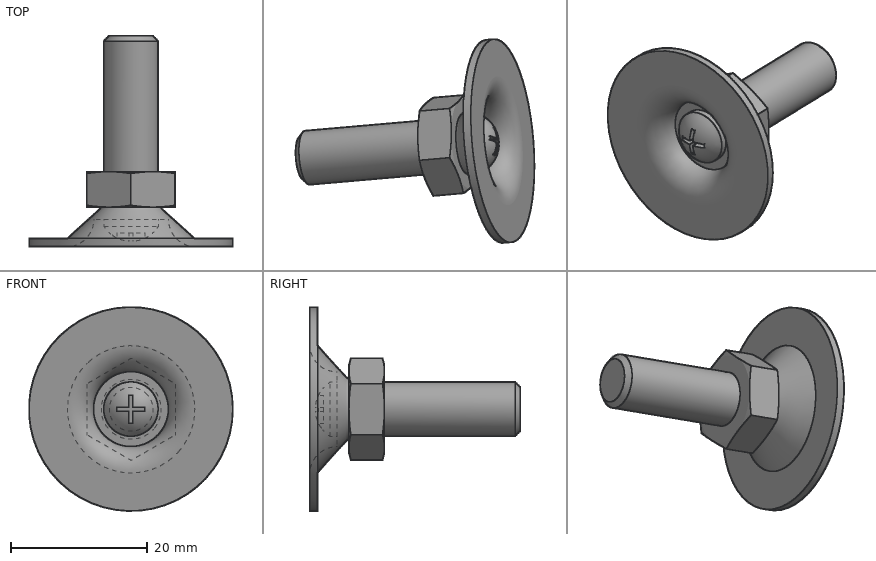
import cadquery as cq
import math

AXIS_DIRECTION = (0, 1, 0)

plate_diameter = 30.0
plate_thickness = 1.2
cone_base_radius = 9.35
cone_top_radius = 4.65
cone_top_y = 5.45
neck_radius = 4.4

flare_radius = 4.0
cavity_floor_radius = 5.5
cavity_depth = flare_radius
cavity_mouth_radius = cavity_floor_radius + flare_radius

dome_radius = 4.0
dome_height = 2.2
screw_rim_height = 1.0
cross_length = 4.1
cross_width = 0.6
cross_depth = 1.2

total_length = 31.0
stud_diameter = 8.0
stud_length = 20.0
tip_chamfer = 0.8
hex_across_corners = 15.0
hex_height = 5.2
hex_chamfer_angle = 15.0

hex_top_y = total_length - stud_length
hex_bottom_y = hex_top_y - hex_height
screw_rim_y = cavity_depth - screw_rim_height
dome_apex_y = screw_rim_y - dome_height
cross_floor_y = dome_apex_y + cross_depth
hex_across_flats = hex_across_corners * math.cos(math.radians(30))


def revolve_about_y(profile):
    """Turn a closed (radius, y) profile a full turn about the Y axis."""
    return profile.close().revolve(360, (0, 0, 0), AXIS_DIRECTION)


def make_base():
    """Plate, cone and short tapered neck, hollowed by a cavity whose wall curves in from the base face."""
    plate_radius = plate_diameter / 2
    arc_reach = flare_radius * math.cos(math.radians(45))
    arc_middle = (cavity_mouth_radius - arc_reach, flare_radius - arc_reach)
    profile = (
        cq.Workplane("XY")
        .moveTo(0, cavity_depth)
        .lineTo(cavity_floor_radius, cavity_depth)
        .threePointArc(arc_middle, (cavity_mouth_radius, 0))
        .lineTo(plate_radius, 0)
        .lineTo(plate_radius, plate_thickness)
        .lineTo(cone_base_radius, plate_thickness)
        .lineTo(cone_top_radius, cone_top_y)
        .lineTo(neck_radius, hex_bottom_y)
        .lineTo(0, hex_bottom_y)
    )
    return revolve_about_y(profile)


def make_screw_end():
    """Spherical cap on a short cylinder that rises from the cavity floor."""
    sphere_radius = (dome_radius**2 + dome_height**2) / (2 * dome_height)
    half_angle = math.asin(dome_radius / sphere_radius) / 2
    arc_middle = (
        sphere_radius * math.sin(half_angle),
        dome_apex_y + sphere_radius * (1 - math.cos(half_angle)),
    )
    profile = (
        cq.Workplane("XY")
        .moveTo(0, dome_apex_y)
        .threePointArc(arc_middle, (dome_radius, screw_rim_y))
        .lineTo(dome_radius, hex_bottom_y)
        .lineTo(0, hex_bottom_y)
    )
    return revolve_about_y(profile)


def make_cross_cutter():
    """Two crossed bars reaching from the base face to the recess floor."""
    centering = (True, False, True)
    bar_x = cq.Workplane("XY").box(cross_length, cross_floor_y, cross_width, centered=centering)
    bar_z = cq.Workplane("XY").box(cross_width, cross_floor_y, cross_length, centered=centering)
    return bar_x.union(bar_z)


def make_hexagon():
    """Hexagon with corners on +Z and -Z, its corners turned off at both ends."""
    prism = (
        cq.Workplane("XZ", origin=(0, hex_top_y, 0))
        .transformed(rotate=(0, 0, 90))
        .polygon(6, hex_across_corners)
        .extrude(hex_height)
    )
    face_radius = hex_across_flats / 2
    corner_radius = hex_across_corners / 2
    chamfer_drop = (corner_radius - face_radius) * math.tan(math.radians(hex_chamfer_angle))
    turned_profile = (
        cq.Workplane("XY")
        .moveTo(0, hex_bottom_y)
        .lineTo(face_radius, hex_bottom_y)
        .lineTo(corner_radius, hex_bottom_y + chamfer_drop)
        .lineTo(corner_radius, hex_top_y - chamfer_drop)
        .lineTo(face_radius, hex_top_y)
        .lineTo(0, hex_top_y)
    )
    return prism.intersect(revolve_about_y(turned_profile))


def make_stud():
    """Plain stud with a chamfered free end."""
    return (
        cq.Workplane("XZ", origin=(0, hex_top_y, 0))
        .circle(stud_diameter / 2)
        .extrude(-stud_length)
        .faces(">Y")
        .chamfer(tip_chamfer)
    )


domed_base = make_base().union(make_screw_end()).cut(make_cross_cutter())
result = domed_base.union(make_hexagon()).union(make_stud())